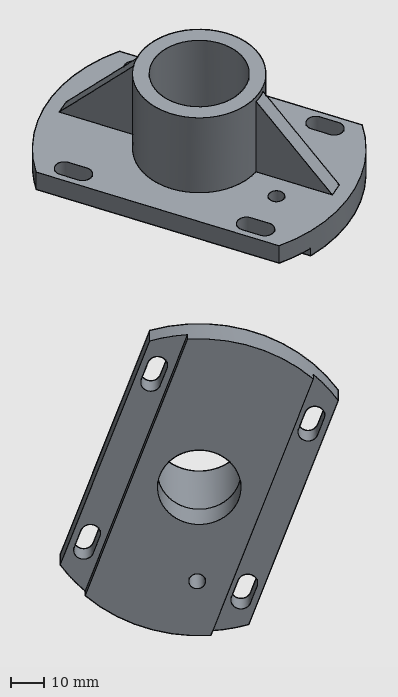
import cadquery as cq

disc_diameter = 100.0
plate_width = 60.0
base_height = 10.0

tongue_width = 40.0
tongue_height = 3.0

boss_diameter = 40.0
total_height = 40.0
bore_diameter = 30.0
through_diameter = 25.0
bore_floor = base_height

rib_thickness = 5.0
rib_foot_x = 45.0
rib_height_at_boss = 28.0
rib_slope = rib_height_at_boss / (rib_foot_x - boss_diameter / 2)
rib_top_x = rib_foot_x - (total_height - base_height) / rib_slope

slot_length = 12.0
slot_width = 6.0
slot_x = 30.0
slot_y = 25.0
pin_hole_diameter = 5.0
pin_hole_x = 30.0
pin_hole_y = -10.0


def make_base():
    """Disc with flat sides, stepped in at the bottom to leave the tongue."""
    disc = cq.Workplane("XY").circle(disc_diameter / 2).extrude(base_height)
    tongue = cq.Workplane("XY").rect(disc_diameter, tongue_width).extrude(base_height)
    plate = (
        cq.Workplane("XY", origin=(0, 0, tongue_height))
        .rect(disc_diameter, plate_width)
        .extrude(base_height - tongue_height)
    )
    return disc.intersect(plate.union(tongue))


def make_boss():
    """Solid cylinder standing on the full height of the base."""
    return cq.Workplane("XY").circle(boss_diameter / 2).extrude(total_height)


def make_ribs():
    """Both ribs as one web through the boss, their slopes carried on into its wall."""
    return (
        cq.Workplane("XZ")
        .moveTo(-rib_foot_x, base_height)
        .lineTo(rib_foot_x, base_height)
        .lineTo(rib_top_x, total_height)
        .lineTo(-rib_top_x, total_height)
        .close()
        .extrude(rib_thickness / 2, both=True)
    )


def cut_bore(body):
    """Wide bore from the top down to its floor, narrower hole right through."""
    through = cq.Workplane("XY").circle(through_diameter / 2).extrude(total_height)
    bore = (
        cq.Workplane("XY", origin=(0, 0, bore_floor))
        .circle(bore_diameter / 2)
        .extrude(total_height - bore_floor)
    )
    return body.cut(through).cut(bore)


def cut_mounting_holes(body):
    """Four slots near the corners and one small hole, all through the base."""
    slot_centres = [(sx * slot_x, sy * slot_y) for sx in (-1, 1) for sy in (-1, 1)]
    slots = (
        cq.Workplane("XY")
        .pushPoints(slot_centres)
        .slot2D(slot_length, slot_width)
        .extrude(base_height)
    )
    pin_hole = (
        cq.Workplane("XY")
        .center(pin_hole_x, pin_hole_y)
        .circle(pin_hole_diameter / 2)
        .extrude(base_height)
    )
    return body.cut(slots).cut(pin_hole)


body = make_base().union(make_boss()).union(make_ribs())
result = cut_mounting_holes(cut_bore(body))